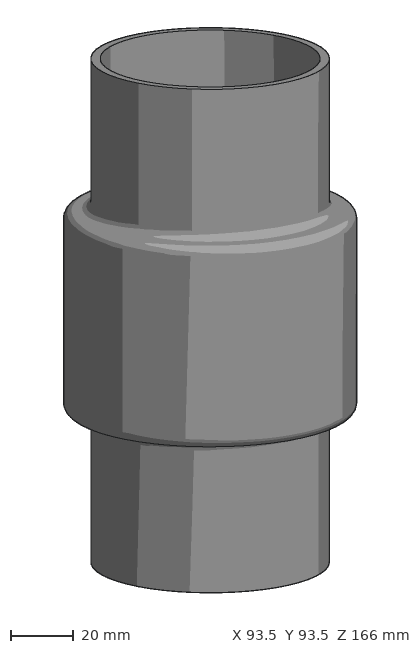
import cadquery as cq

pipe_length = 166.0
pipe_diameter = 76.0
wall_thickness = 3.0
collar_diameter = 93.5
collar_length = 66.4
rim_radius = 3.0
root_radius = 3.0

pipe_radius = pipe_diameter / 2
bore_radius = pipe_radius - wall_thickness
collar_radius = collar_diameter / 2


def half_profile():
    """Right half of the pipe wall section, with radius along X and height along Z."""
    pipe_end = pipe_length / 2
    collar_end = collar_length / 2
    root_top = collar_end + root_radius
    rim_bottom = collar_end - rim_radius
    root_edge = pipe_radius + root_radius
    rim_edge = collar_radius - rim_radius
    return (
        cq.Workplane("XZ")
        .moveTo(bore_radius, -pipe_end)
        .lineTo(pipe_radius, -pipe_end)
        .lineTo(pipe_radius, -root_top)
        .radiusArc((root_edge, -collar_end), root_radius)
        .lineTo(rim_edge, -collar_end)
        .radiusArc((collar_radius, -rim_bottom), -rim_radius)
        .lineTo(collar_radius, rim_bottom)
        .radiusArc((rim_edge, collar_end), -rim_radius)
        .lineTo(root_edge, collar_end)
        .radiusArc((pipe_radius, root_top), root_radius)
        .lineTo(pipe_radius, pipe_end)
        .lineTo(bore_radius, pipe_end)
        .close()
    )


result = half_profile().revolve(360, (0, 0, 0), (0, 1, 0))